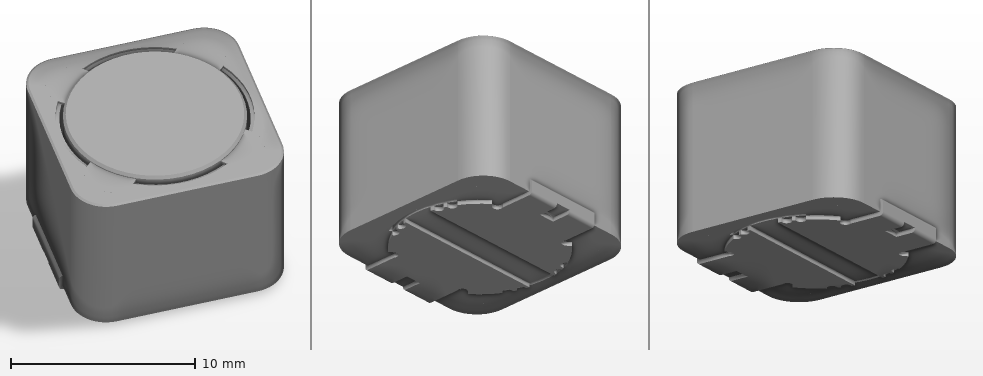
import cadquery as cq
import math


total_length = 12.4
total_height = 9.25

base_thickness = 0.25
clip_width = 4.98
clip_height = 0.99
clip_round = 0.2
clip_gap = 1.86
wire_radius = 0.3
edge_notch_angles = [16.5, 25.6]
wire_slot_x = 2.75
wire_slot_y = 3.89
wire_slot_angle = 41.0
wire_slot_wall_length = 1.49
front_notch_width = 1.02
front_notch_depth = 1.24
bracket_inner_y = wire_slot_y + math.sqrt(wire_radius**2 - (wire_slot_x - clip_width / 2) ** 2)

housing_side = 12.0
housing_corner_radius = 2.0
housing_top = 9.05
housing_chamfer_width = 0.12
housing_chamfer_height = 0.07
bore_radius = 5.2
step_radius = 5.41
step_depth = 0.15
housing_height = housing_top - base_thickness

core_radius = 5.0
core_chamfer = 0.15
core_height = total_height - base_thickness

plug_radius = 1.43
plug_offset = 3.61
plug_centers = [(sx * plug_offset, sy * plug_offset) for sx in (-1, 1) for sy in (-1, 1)]


def cylinder(radius, bottom, height, centers=((0, 0),)):
    """Upright cylinders standing on the level `bottom`."""
    return cq.Workplane("XY", origin=(0, 0, bottom)).pushPoints(centers).circle(radius).extrude(height)


def make_housing():
    """Rounded square block with a stepped through bore and four corner lobes."""
    block = (
        cq.Workplane("XY", origin=(0, 0, base_thickness))
        .rect(housing_side, housing_side)
        .extrude(housing_height)
        .edges("|Z")
        .fillet(housing_corner_radius)
        .faces(">Z")
        .edges()
        .chamfer(housing_chamfer_height, housing_chamfer_width)
    )
    bore = cylinder(bore_radius, base_thickness, housing_height)
    step = cylinder(step_radius, housing_top - step_depth, step_depth)
    lobes = cylinder(plug_radius, base_thickness, housing_height, plug_centers)
    return block.cut(bore).cut(step).cut(lobes)


def make_core():
    """Plain round core with a chamfered top rim."""
    core = cylinder(core_radius, base_thickness, core_height)
    return core.faces(">Z").edges().chamfer(core_chamfer)


def make_plug(center):
    """Glue plug that fills one corner lobe between the housing and the core."""
    plug = cylinder(plug_radius, base_thickness, housing_height, [center])
    return plug.cut(cylinder(core_radius, base_thickness, core_height))


def slot_mouth(side):
    """Opening from the round slot end to the rim, between a slanted wall and the bracket."""
    cosine = math.cos(math.radians(wire_slot_angle))
    sine = math.sin(math.radians(wire_slot_angle))
    wall_x = wire_slot_x + wire_radius * sine
    wall_y = wire_slot_y - wire_radius * cosine
    rim_x = wall_x + wire_slot_wall_length * cosine
    rim_y = wall_y + wire_slot_wall_length * sine
    corners = [
        (wire_slot_x, wire_slot_y),
        (wall_x, wall_y),
        (rim_x, rim_y),
        (clip_width / 2, rim_y),
        (clip_width / 2, bracket_inner_y),
    ]
    outline = [(side * x, -y) for x, y in corners]
    return cq.Workplane("XY").polyline(outline).close().extrude(base_thickness)


def wire_cutouts(side):
    """Two round edge notches and one round-ended open slot; side is -1 for -X and 1 for +X."""
    notch_centers = []
    for angle in edge_notch_angles:
        turn = math.radians(angle)
        notch_centers.append((side * core_radius * math.cos(turn), -core_radius * math.sin(turn)))
    notches = cylinder(wire_radius, 0, base_thickness, notch_centers)
    slot_end = cylinder(wire_radius, 0, base_thickness, [(side * wire_slot_x, -wire_slot_y)])
    return notches, slot_end, slot_mouth(side)


def make_wings():
    """Disc segment under the core, with the cutouts for the wire ends."""
    half_space = (
        cq.Workplane("XY")
        .center(0, -clip_gap / 2 - core_radius)
        .rect(2 * core_radius, 2 * core_radius)
        .extrude(base_thickness)
    )
    segment = cylinder(core_radius, 0, base_thickness).intersect(half_space)
    for side in (-1, 1):
        for cutout in wire_cutouts(side):
            segment = segment.cut(cutout)
    return segment


def make_bracket():
    """L-shaped strip under the housing and up its -Y wall, notched in the middle."""
    outer = -total_length / 2
    wall = -housing_side / 2
    return (
        cq.Workplane("YZ")
        .moveTo(-bracket_inner_y, 0)
        .lineTo(outer + clip_round, 0)
        .radiusArc((outer, clip_round), clip_round)
        .lineTo(outer, clip_height - clip_round)
        .radiusArc((wall, clip_height), clip_round)
        .lineTo(wall, base_thickness)
        .lineTo(-bracket_inner_y, base_thickness)
        .close()
        .extrude(clip_width / 2, both=True)
    )


def make_clip():
    """Terminal clip on the -Y side: wings, bracket and a notch in the middle of its outer edge."""
    notch = (
        cq.Workplane("XY")
        .center(0, (front_notch_depth - total_length) / 2)
        .rect(front_notch_width, front_notch_depth)
        .extrude(base_thickness)
    )
    return make_wings().union(make_bracket()).cut(notch)


housing = make_housing()
core = make_core()
plugs = [make_plug(center) for center in plug_centers]
clips = [make_clip().rotate((0, 0, 0), (0, 0, 1), turn) for turn in (0, 180)]

result = cq.Compound.makeCompound(
    [
        housing.val(),
        core.val(),
        *[plug.val() for plug in plugs],
        *[clip.val() for clip in clips],
    ]
)